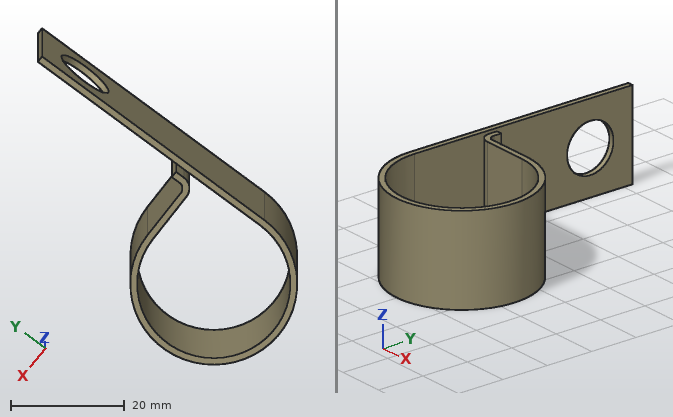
import cadquery as cq
import math

length = 63.9
width = 19.05
thickness = 1.2
loop_radius = 14.7
lip_gap = 1.2
lip_bend_radius = 1.3
lip_end = 17.7
hole_diameter = 10.4
hole_inset = width / 2

inner_radius = loop_radius - thickness
tab_end = length - loop_radius
lip_left = -inner_radius + lip_gap
lip_right = lip_left + thickness
bend_outer_radius = lip_bend_radius + thickness
bend_x = lip_right + lip_bend_radius
bend_y = loop_radius + lip_bend_radius
diagonal = math.sqrt(0.5)


def make_strip():
    """Bent strip: straight tab, three-quarter loop, return leg and lip."""
    return (
        cq.Workplane("XY")
        .workplane(offset=-width / 2)
        .moveTo(-loop_radius, tab_end)
        .lineTo(-loop_radius, 0)
        .threePointArc((loop_radius * diagonal, -loop_radius * diagonal), (0, loop_radius))
        .lineTo(bend_x, loop_radius)
        .threePointArc(
            (bend_x - lip_bend_radius * diagonal, bend_y - lip_bend_radius * diagonal),
            (lip_right, bend_y),
        )
        .lineTo(lip_right, lip_end)
        .lineTo(lip_left, lip_end)
        .lineTo(lip_left, bend_y)
        .threePointArc(
            (bend_x - bend_outer_radius * diagonal, bend_y - bend_outer_radius * diagonal),
            (bend_x, inner_radius),
        )
        .lineTo(0, inner_radius)
        .threePointArc((inner_radius * diagonal, -inner_radius * diagonal), (-inner_radius, 0))
        .lineTo(-inner_radius, tab_end)
        .close()
        .extrude(width)
    )


def make_hole_cutter():
    """Cylinder crossing only the tab."""
    return (
        cq.Workplane("YZ", origin=(-loop_radius, 0, 0))
        .center(tab_end - hole_inset, 0)
        .circle(hole_diameter / 2)
        .extrude(thickness)
    )


result = make_strip().cut(make_hole_cutter())